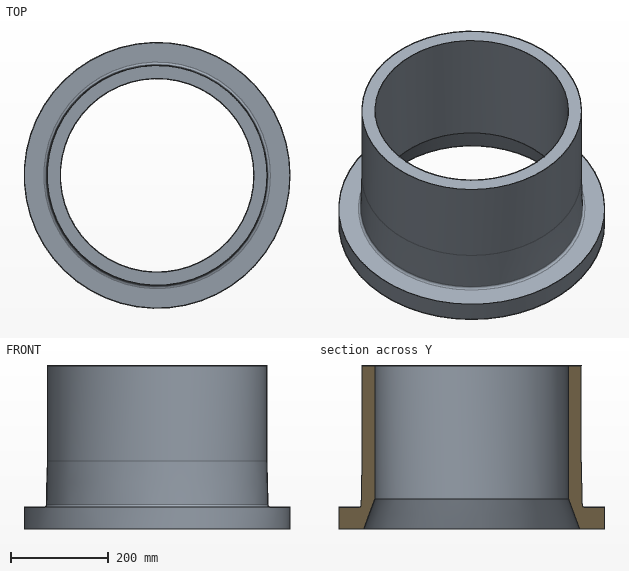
import cadquery as cq

flange_diameter = 545
total_height = 335.0
flange_thickness = 45.0

pipe_diameter = 450.0
bore_diameter = 396.0

neck_base_diameter = 454.5
neck_top_height = 140.0
root_fillet = 5.0

bore_chamfer_height = 62.0
bore_chamfer_width = 23.0

flange_radius = flange_diameter / 2
pipe_radius = pipe_diameter / 2
bore_radius = bore_diameter / 2
neck_base_radius = neck_base_diameter / 2

half_section = (
    cq.Workplane("XZ")
    .moveTo(bore_radius + bore_chamfer_width, 0)
    .lineTo(flange_radius, 0)
    .lineTo(flange_radius, flange_thickness)
    .lineTo(neck_base_radius + root_fillet, flange_thickness)
    .radiusArc((neck_base_radius, flange_thickness + root_fillet), root_fillet)
    .lineTo(pipe_radius, neck_top_height)
    .lineTo(pipe_radius, total_height)
    .lineTo(bore_radius, total_height)
    .lineTo(bore_radius, bore_chamfer_height)
    .close()
)

result = half_section.revolve(360, (0, 0, 0), (0, 1, 0))